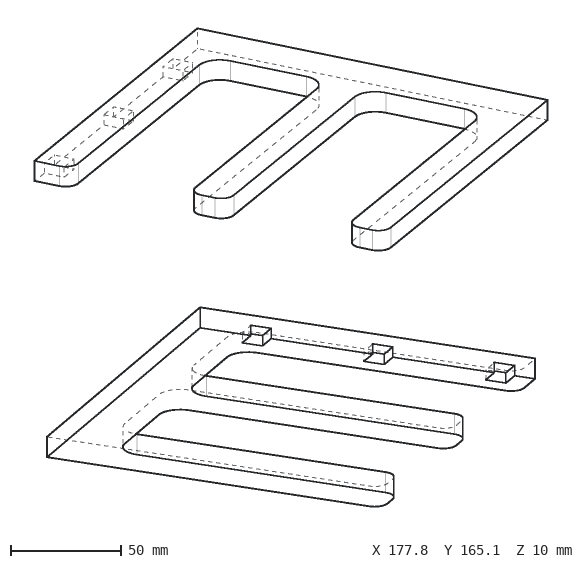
import cadquery as cq

width = 177.8
length = 165.1
thickness = 10.0

leg_width = 19.05
bar_depth = 25.8
middle_leg_left = 78.6
middle_leg_width = 19.4
inner_radius = 10.5
foot_radius = 6.35

notch_width = 10.0
notch_height = 5.0
notch_depth = 10.0
first_notch_center = 30.0
notch_pitch = 60.0
notch_count = 3

bar_bottom = length - bar_depth
middle_leg_right = middle_leg_left + middle_leg_width
right_leg_left = width - leg_width


def box(x_min, x_max, y_min, y_max, height):
    """Block resting on the XY plane between the given limits."""
    return (
        cq.Workplane("XY")
        .box(x_max - x_min, y_max - y_min, height, centered=False)
        .translate((x_min, y_min, 0))
    )


def vertical_edges_at(points, solid, radius):
    """Round the vertical edges that stand on the given XY points."""
    for x, y in points:
        edge = cq.selectors.NearestToPointSelector((x, y, thickness / 2))
        solid = solid.edges("|Z").edges(edge).fillet(radius)
    return solid


def plate():
    """Plate with two open bays, rounded bay corners and rounded feet."""
    body = box(0, width, 0, length, thickness)
    bays = [(leg_width, middle_leg_left), (middle_leg_right, right_leg_left)]
    for left, right in bays:
        body = body.cut(box(left, right, 0, bar_bottom, thickness))
    bay_sides = [x for bay in bays for x in bay]
    body = vertical_edges_at([(x, bar_bottom) for x in bay_sides], body, inner_radius)
    return vertical_edges_at([(x, 0) for x in bay_sides + [width]], body, foot_radius)


def cut_notches(body):
    """Cut the blind notches into the lower outer edge of the left leg."""
    for index in range(notch_count):
        center = length - first_notch_center - index * notch_pitch
        half_width = notch_width / 2
        notch = box(0, notch_depth, center - half_width, center + half_width, notch_height)
        body = body.cut(notch)
    return body


result = cut_notches(plate())